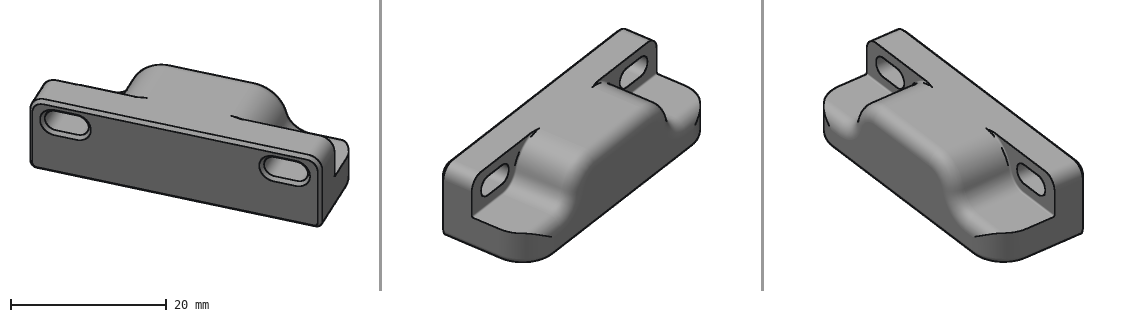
import cadquery as cq
import math

LENGTH = 40.0
DEPTH = 14.45
HEIGHT = 11.05

WALL_THICKNESS = 5.0
WALL_FOOT_RADIUS = 0.25
SHELF_DROP = 6.0

HUMP_TOP_HALF_WIDTH = 5.75
CREST_RADIUS = 5.0
VALLEY_RADIUS = 3.0

WALL_CORNER_RADIUS = 2.0
BACK_CORNER_RADIUS = 5.0
BACK_EDGE_RADIUS = 2.0
BOTTOM_RADIUS = 1.0
CHAMFER = 0.5
CHAMFER_ANGLE = 45.0

SLOT_LENGTH = 6.0
SLOT_HEIGHT = 3.0
SLOT_FROM_END = 5.0
SLOT_FROM_TOP = 3.0

MARGIN = 4.0


def rounded_block():
    """Outer envelope with rounded back corners and rounded underside."""
    block = cq.Workplane("XY").box(LENGTH, DEPTH, HEIGHT, centered=(True, False, False))
    block = block.edges("|Z and >Y").fillet(BACK_CORNER_RADIUS)
    return block.faces("<Z").edges("not <Y").fillet(BOTTOM_RADIUS)


def space_above_hump():
    """Space behind the wall and above the hump, its lower front edge rounded for the wall foot."""
    shelf_z = HEIGHT - SHELF_DROP
    flank_angle = math.acos(1 - SHELF_DROP / (CREST_RADIUS + VALLEY_RADIUS))
    crest_x = HUMP_TOP_HALF_WIDTH
    crest_center_z = HEIGHT - CREST_RADIUS
    valley_x = crest_x + (CREST_RADIUS + VALLEY_RADIUS) * math.sin(flank_angle)
    valley_center_z = shelf_z + VALLEY_RADIUS

    def crest_point(angle):
        return crest_x + CREST_RADIUS * math.sin(angle), crest_center_z + CREST_RADIUS * math.cos(angle)

    def valley_point(angle):
        return valley_x - VALLEY_RADIUS * math.sin(angle), valley_center_z - VALLEY_RADIUS * math.cos(angle)

    def mirrored(point):
        return -point[0], point[1]

    inflection = crest_point(flank_angle)
    crest_middle = crest_point(flank_angle / 2)
    valley_middle = valley_point(flank_angle / 2)
    shelf_start = (valley_x, shelf_z)
    shelf_end = (LENGTH / 2 + MARGIN, shelf_z)
    upper_corner = (LENGTH / 2 + MARGIN, HEIGHT + MARGIN)

    space = (
        cq.Workplane("XZ", origin=(0, WALL_THICKNESS, 0))
        .moveTo(-crest_x, HEIGHT)
        .lineTo(crest_x, HEIGHT)
        .threePointArc(crest_middle, inflection)
        .threePointArc(valley_middle, shelf_start)
        .lineTo(*shelf_end)
        .lineTo(*upper_corner)
        .lineTo(*mirrored(upper_corner))
        .lineTo(*mirrored(shelf_end))
        .lineTo(*mirrored(shelf_start))
        .threePointArc(mirrored(valley_middle), mirrored(inflection))
        .threePointArc(mirrored(crest_middle), (-crest_x, HEIGHT))
        .close()
        .extrude(-(DEPTH - WALL_THICKNESS + MARGIN))
    )
    lower_front_edges = space.faces("<Y").edges("not(>Z or <X or >X)")
    return lower_front_edges.fillet(WALL_FOOT_RADIUS)


def wall_and_hump():
    """Round-cornered wall, hump and shelves, with the upper back edge rounded."""
    body = cq.Workplane("XY").box(LENGTH, DEPTH, HEIGHT, centered=(True, False, False))
    body = body.edges("|Y and >Z").fillet(WALL_CORNER_RADIUS)
    body = body.cut(space_above_hump())
    upper_back_edges = body.faces(">Y").edges("not(<Z or <X or >X)")
    return upper_back_edges.fillet(BACK_EDGE_RADIUS)


def slot_cutters():
    """Two rounded slots through the wall, widened by a chamfer at the front face."""
    slot_x = LENGTH / 2 - SLOT_FROM_END
    slot_z = HEIGHT - SLOT_FROM_TOP
    centers = [(-slot_x, slot_z), (slot_x, slot_z)]
    slots = cq.Workplane("XZ").pushPoints(centers).slot2D(SLOT_LENGTH, SLOT_HEIGHT).extrude(-DEPTH)
    mouths = (
        cq.Workplane("XZ")
        .pushPoints(centers)
        .slot2D(SLOT_LENGTH + 2 * CHAMFER, SLOT_HEIGHT + 2 * CHAMFER)
        .extrude(-CHAMFER, taper=CHAMFER_ANGLE)
    )
    return slots.union(mouths)


body = rounded_block().intersect(wall_and_hump())
body = body.faces("<Y").edges().chamfer(CHAMFER)
result = body.cut(slot_cutters())